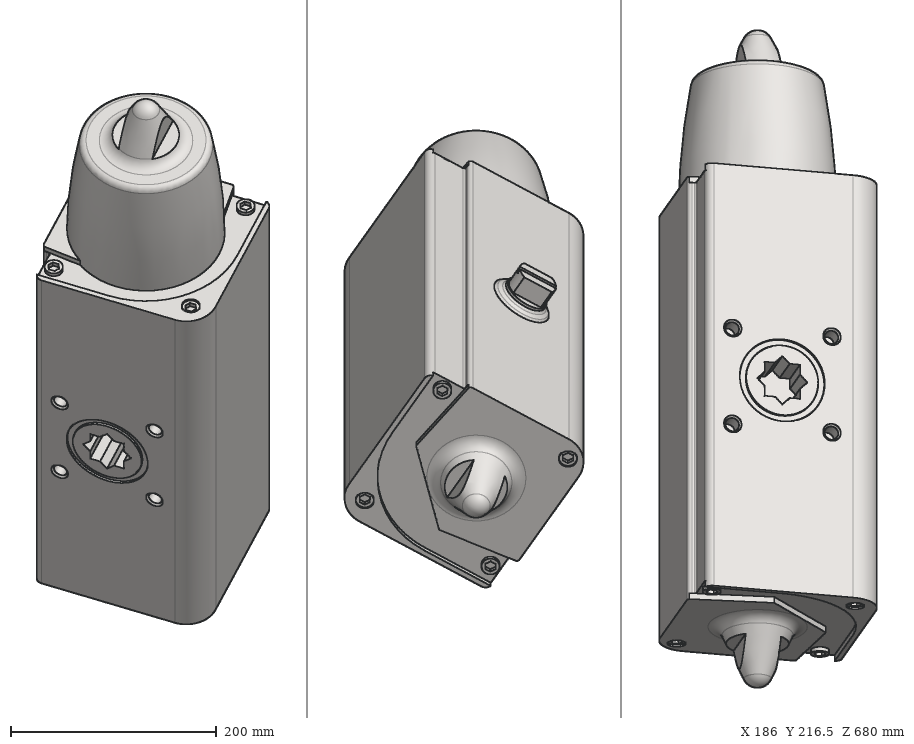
import cadquery as cq
import math


overall_height = 680.0

block_half_height = 219.0
wide_side = 101.5
narrow_side = 84.5
notch_depth = 8.0
notch_floor = narrow_side - notch_depth
notch_start = 60.0
large_corner_radius = 30.5
small_corner_radius = 7.5
step_outer_radius = 4.0
step_inner_radius = 2.0

pocket_depth = 6.0
pocket_half = 96.0
pocket_edge_tilt = 6.5
pocket_overrun = 7.0

screw_pitch = 143.5
screw_center_offset = 7.0
screw_diameter = 18.0
screw_head_drop = 2.0
socket_diameter = 11.5
socket_depth = 5.0

cap_base_radius = 77.0
cap_middle_radius = 73.5
cap_top_radius = 64.0
cap_height = 127.0
cap_edge_radius = 7.0

top_tip_height = 52.5
bottom_tip_height = overall_height - 2 * block_half_height - cap_height - top_tip_height
top_tip_half_angle = 27.5
bottom_tip_half_angle = 25.0
tip_dome_radius = 15.0
tip_flare_radius = 15.0
tip_blade_half = 18.0
tip_blade_length = 45.0

mount_pitch = 99.0
mount_diameter = 13.5
mount_rim_diameter = 18.0
mount_depth = 20.5

shaft_diameter = 72.0
shaft_recess_diameter = 85.0
shaft_recess_depth = 3.0
shaft_shoulder = 0.0
neck_diameter = 58.0
collar_base_diameter = 62.5
collar_middle_diameter = 49.5
collar_top_diameter = 45.0
collar_step = 2.4
knob_diameter = 41.5
knob_end = 115.0
knob_flat_start = 94.5
knob_flat_half = 13.5
knob_slot_size = 5.0
star_square = 35.5
star_depth = 41.0


def block_outline():
    """Square outline with two stepped corners, mirrored about one diagonal."""
    return (
        cq.Workplane("XY")
        .moveTo(-narrow_side, narrow_side)
        .lineTo(notch_start, narrow_side)
        .lineTo(notch_start, notch_floor)
        .lineTo(wide_side, notch_floor)
        .lineTo(wide_side, -wide_side)
        .lineTo(-notch_floor, -wide_side)
        .lineTo(-notch_floor, -notch_start)
        .lineTo(-narrow_side, -notch_start)
        .close()
    )


def fillet_corners(block, corners, radius):
    """Round the vertical edges that pass through the given XY corners."""
    for x, y in corners:
        block = block.edges(cq.selectors.NearestToPointSelector((x, y, 0))).fillet(radius)
    return block


def make_block():
    """Block with rounded outer corners and smooth corner steps."""
    block = block_outline().extrude(block_half_height, both=True)
    block = fillet_corners(
        block, [(-narrow_side, narrow_side), (wide_side, -wide_side)], large_corner_radius
    )
    block = fillet_corners(block, [(wide_side, notch_floor), (-notch_floor, -wide_side)], small_corner_radius)
    block = fillet_corners(
        block, [(notch_start, narrow_side), (-narrow_side, -notch_start)], step_outer_radius
    )
    return fillet_corners(block, [(notch_start, notch_floor), (-notch_floor, -notch_start)], step_inner_radius)


def make_pocket():
    """Pocket at the top end, open through both stepped corners."""
    floor = block_half_height - pocket_depth
    tilt = math.tan(math.radians(pocket_edge_tilt))
    open_end = narrow_side + pocket_overrun
    outer = notch_start - (open_end - notch_floor) * tilt
    near = outer + open_end * tilt
    arc_mid = pocket_half * math.cos(math.radians(45))
    return (
        cq.Workplane("XY", origin=(0, 0, floor))
        .moveTo(near, 0)
        .lineTo(outer, open_end)
        .lineTo(pocket_half, open_end)
        .lineTo(pocket_half, 0)
        .threePointArc((arc_mid, -arc_mid), (0, -pocket_half))
        .lineTo(-open_end, -pocket_half)
        .lineTo(-open_end, -outer)
        .lineTo(0, -near)
        .close()
        .extrude(pocket_depth)
    )


def screw_points():
    """Centres of the four end screws."""
    half = screw_pitch / 2
    columns = (screw_center_offset - half, screw_center_offset + half)
    rows = (-screw_center_offset - half, half - screw_center_offset)
    return [(x, y) for x in columns for y in rows]


def cut_pocket_and_add_screws(block):
    """Shape the top end: pocket, then screw heads just below the rim."""
    floor = cq.Workplane("XY", origin=(0, 0, block_half_height - pocket_depth))
    seats = floor.pushPoints(screw_points()).circle(screw_diameter / 2).extrude(pocket_depth)
    head_height = pocket_depth - screw_head_drop
    heads = floor.pushPoints(screw_points()).circle(screw_diameter / 2).extrude(head_height)
    sockets = (
        cq.Workplane("XY", origin=(0, 0, block_half_height - screw_head_drop))
        .pushPoints(screw_points())
        .polygon(6, socket_diameter)
        .extrude(-socket_depth)
    )
    return block.cut(make_pocket()).cut(seats).union(heads).cut(sockets)


def finish_both_ends(block):
    """Shape the top end, flip the block over, and shape the other end the same way."""
    flipped = cut_pocket_and_add_screws(block).mirror("XY")
    return cut_pocket_and_add_screws(flipped).mirror("XY")


def make_cap():
    """Barrel-shaped cap, reaching down to the pocket floor."""
    return (
        cq.Workplane("XZ")
        .moveTo(0, -pocket_depth)
        .lineTo(cap_base_radius, -pocket_depth)
        .threePointArc((cap_middle_radius, (cap_height - pocket_depth) / 2), (cap_top_radius, cap_height))
        .lineTo(0, cap_height)
        .close()
        .revolve(360, (0, 0, 0), (0, 1, 0))
        .faces(">Z")
        .edges()
        .fillet(cap_edge_radius)
        .translate((0, 0, block_half_height))
    )


def make_tip(height, half_angle):
    """Cone with a round nose and a flared foot, flattened on both sides into a blade."""
    angle = math.radians(half_angle)
    nose_center = height - tip_dome_radius
    nose_radius = tip_dome_radius * math.cos(angle)
    nose_height = nose_center + tip_dome_radius * math.sin(angle)
    arc_mid_angle = (angle + math.pi / 2) / 2
    foot_center_radius = (
        nose_radius
        + (nose_height - tip_flare_radius) * math.tan(angle)
        + tip_flare_radius / math.cos(angle)
    )

    def foot_point(a):
        return (
            foot_center_radius - tip_flare_radius * math.cos(a),
            tip_flare_radius - tip_flare_radius * math.sin(a),
        )

    tip = (
        cq.Workplane("XZ")
        .lineTo(foot_center_radius, 0)
        .threePointArc(foot_point(arc_mid_angle), foot_point(angle))
        .lineTo(nose_radius, nose_height)
        .threePointArc(
            (
                tip_dome_radius * math.cos(arc_mid_angle),
                nose_center + tip_dome_radius * math.sin(arc_mid_angle),
            ),
            (0, height),
        )
        .close()
        .revolve(360, (0, 0, 0), (0, 1, 0))
    )
    side_size = 2 * foot_center_radius
    for side in (-1, 1):
        cutter = cq.Workplane("XY").box(side_size, side_size, tip_blade_length).translate(
            (side * (tip_blade_half + side_size / 2), 0, height - tip_blade_length / 2)
        )
        tip = tip.cut(cutter)
    return tip


def cut_mount_holes(housing):
    """Four chamfered holes around the shaft in the -Y face."""
    half = mount_pitch / 2
    rim_depth = (mount_rim_diameter - mount_diameter) / 2
    hole = (
        cq.Workplane("XY")
        .lineTo(mount_rim_diameter / 2, 0)
        .lineTo(mount_diameter / 2, rim_depth)
        .lineTo(mount_diameter / 2, mount_depth)
        .lineTo(0, mount_depth)
        .close()
        .revolve(360, (0, 0, 0), (0, 1, 0))
    )
    for x in (-half, half):
        for z in (-half, half):
            housing = housing.cut(hole.translate((x, -wide_side, z)))
    return housing


def disc_y(diameter, start, end):
    """Solid cylinder on the Y axis."""
    return cq.Workplane("XZ", origin=(0, start, 0)).circle(diameter / 2).extrude(start - end)


def make_shaft_envelope():
    """Stepped cylinder that fills the shaft bore between the two block faces."""
    wide_part = disc_y(shaft_diameter, -wide_side, shaft_shoulder)
    neck = disc_y(neck_diameter, shaft_shoulder, narrow_side)
    return wide_part.union(neck)


def make_housing():
    """Block, cap and tips in one solid, bored for the shaft."""
    housing = finish_both_ends(make_block())
    housing = housing.union(make_cap())
    top_tip = make_tip(top_tip_height, top_tip_half_angle)
    housing = housing.union(top_tip.translate((0, 0, block_half_height + cap_height)))
    bottom_tip = make_tip(bottom_tip_height, bottom_tip_half_angle).mirror("XY")
    housing = housing.union(bottom_tip.translate((0, 0, -block_half_height)))
    housing = cut_mount_holes(housing)
    housing = housing.cut(disc_y(shaft_recess_diameter, -wide_side, shaft_recess_depth - wide_side))
    return housing.cut(make_shaft_envelope())


def make_knob():
    """Indicator knob with two flats and a slot across its end."""
    knob = disc_y(knob_diameter, narrow_side, knob_end)
    flat_length = knob_end - knob_flat_start
    for side in (-1, 1):
        cutter = cq.Workplane("XY").box(knob_diameter, flat_length, knob_diameter).translate(
            (0, knob_flat_start + flat_length / 2, side * (knob_flat_half + knob_diameter / 2))
        )
        knob = knob.cut(cutter)
    slot = cq.Workplane("XY").box(knob_diameter, knob_slot_size, knob_slot_size).translate(
        (0, knob_end - knob_slot_size / 2, 0)
    )
    return knob.cut(slot)


def make_star():
    """Eight-pointed socket: two squares turned 45 degrees to each other."""
    face = cq.Workplane("XZ", origin=(0, -wide_side, 0))
    square = face.rect(star_square, star_square).extrude(-star_depth)
    return square.union(square.rotate((0, 0, 0), (0, 1, 0), 45))


def make_shaft():
    """Drive shaft with a tapered collar, a knob and a star socket."""
    collar = (
        cq.Workplane("XY")
        .moveTo(0, narrow_side)
        .lineTo(collar_base_diameter / 2, narrow_side)
        .lineTo(neck_diameter / 2, narrow_side + collar_step)
        .lineTo(collar_middle_diameter / 2, narrow_side + 2 * collar_step)
        .lineTo(collar_top_diameter / 2, narrow_side + 3 * collar_step)
        .lineTo(collar_top_diameter / 2, knob_flat_start)
        .lineTo(0, knob_flat_start)
        .close()
        .revolve(360, (0, 0, 0), (0, 1, 0))
    )
    return make_shaft_envelope().union(collar).union(make_knob()).cut(make_star())


housing = make_housing()
shaft = make_shaft()
result = cq.Compound.makeCompound([housing.val(), shaft.val()])